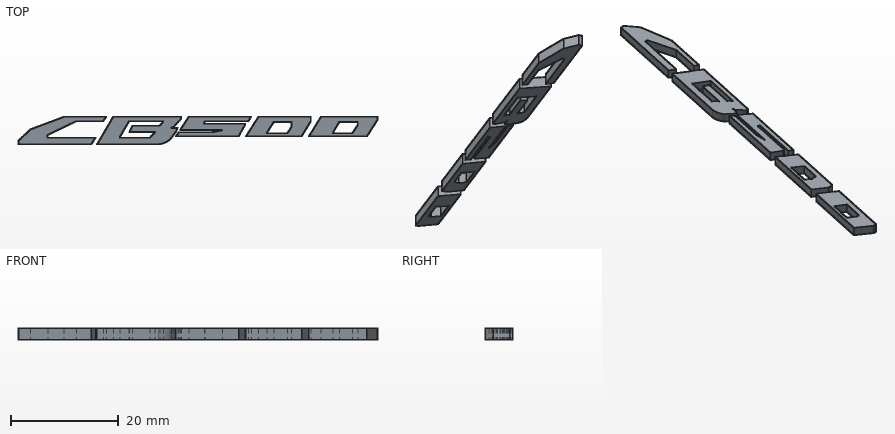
import cadquery as cq

LENGTH = 66.75
HEIGHT = 5.15
THICKNESS = 2.2

DIGIT_BASE = 1.5
TOP_BAR = 4.3
BOTTOM_BAR = 1.3
ZERO_HOLE_BOTTOM = 2.1
ZERO_HOLE_TOP = 4.15


def plate(points):
    """Extrude a closed straight-sided outline to the full thickness."""
    return cq.Workplane("XY").polyline(points).close().extrude(THICKNESS)


def make_letter_c():
    opening_left = 5.5
    return plate([
        (0, 0),
        (13.55, 0),
        (14.35, BOTTOM_BAR),
        (opening_left, BOTTOM_BAR),
        (opening_left, 1.75),
        (10.75, TOP_BAR),
        (15.75, TOP_BAR),
        (16.35, HEIGHT),
        (8.5, HEIGHT),
        (2.3, 2.8),
        (0, 0.7),
    ])


def make_letter_b():
    right = 30.25
    notch_height = 3.1
    body = (
        cq.Workplane("XY")
        .moveTo(14.6, 0)
        .lineTo(26.05, 0)
        .threePointArc((27.3, 0.35), (28.3, 1.0))
        .lineTo(29.4, 2.5)
        .lineTo(29.6, notch_height)
        .lineTo(28.4, notch_height)
        .lineTo(28.85, 3.2)
        .lineTo(right, 4.75)
        .lineTo(right, HEIGHT)
        .lineTo(17.6, HEIGHT)
        .close()
        .extrude(THICKNESS)
    )
    tongue_top = 3.5
    tongue_bottom = 2.3
    counter = plate([
        (18.8, BOTTOM_BAR),
        (24.45, BOTTOM_BAR),
        (25.4, tongue_bottom),
        (20.6, tongue_bottom),
        (21.15, tongue_top),
        (26.25, tongue_top),
        (27.0, TOP_BAR),
        (20.55, TOP_BAR),
    ])
    return body.cut(counter)


def make_digit_five():
    upper_slot_bottom = 3.9
    lower_slot_top = 2.7
    lower_slot_bottom = 2.3
    return plate([
        (29.25, DIGIT_BASE),
        (40.9, DIGIT_BASE),
        (42.1, 3.6),
        (42.1, upper_slot_bottom),
        (34.5, upper_slot_bottom),
        (34.65, TOP_BAR),
        (42.7, TOP_BAR),
        (43.25, HEIGHT),
        (31.65, HEIGHT),
        (30.05, lower_slot_top),
        (37.9, lower_slot_top),
        (36.0, lower_slot_bottom),
        (29.85, lower_slot_bottom),
    ])


def make_first_zero():
    right = 54.35
    hole_right = 50.75
    body = plate([
        (42.25, DIGIT_BASE),
        (52.6, DIGIT_BASE),
        (right, 4.3),
        (right, HEIGHT),
        (44.6, HEIGHT),
    ])
    hole = plate([
        (46.1, ZERO_HOLE_BOTTOM),
        (49.95, ZERO_HOLE_BOTTOM),
        (hole_right, 3.3),
        (hole_right, ZERO_HOLE_TOP),
        (47.45, ZERO_HOLE_TOP),
    ])
    return body.cut(hole)


def make_second_zero():
    hole_right = 63.0
    body = plate([
        (53.95, DIGIT_BASE),
        (64.75, DIGIT_BASE),
        (LENGTH, 4.6),
        (LENGTH, HEIGHT),
        (56.2, HEIGHT),
    ])
    hole = plate([
        (58.4, ZERO_HOLE_BOTTOM),
        (62.0, ZERO_HOLE_BOTTOM),
        (hole_right, 3.6),
        (hole_right, ZERO_HOLE_TOP),
        (59.6, ZERO_HOLE_TOP),
    ])
    return body.cut(hole)


letter_c = make_letter_c()
letter_b = make_letter_b()
digit_five = make_digit_five()
first_zero = make_first_zero()
second_zero = make_second_zero()

result = cq.Compound.makeCompound([
    letter_c.val(),
    letter_b.val(),
    digit_five.val(),
    first_zero.val(),
    second_zero.val(),
])